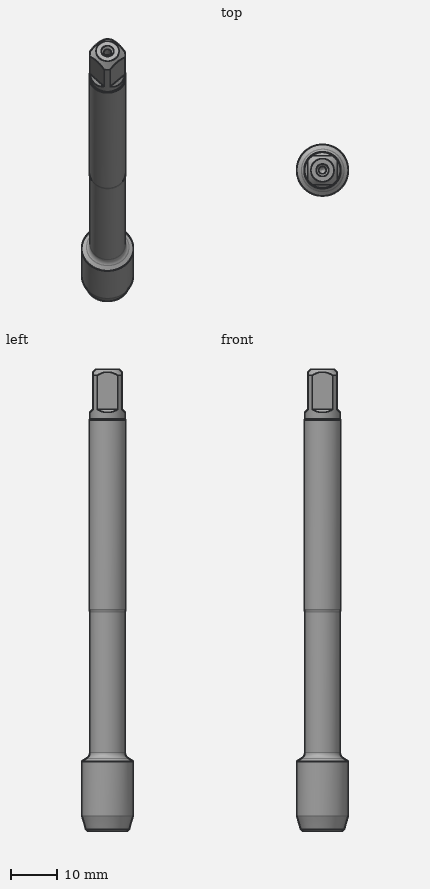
import cadquery as cq
import math

total_length = 100.0
head_length = 15.0
lead_length = 3.4
tip_bevel_height = 0.5
collar_top = 15.2
grip_bottom = 47.5
grip_bottom_bevel_height = 0.5
grip_top = 89.2
grip_top_bevel_height = 0.3
flats_bottom = 91.3

head_diameter = 11.2
tip_bevel_diameter = 9.5
tip_diameter = 8.5
neck_diameter = 7.7
grip_diameter = 8.0
end_face_diameter = 5.0

shoulder_slope = math.radians(30)
shoulder_fillet = 1.5

square_width = 6.3
centre_mouth_diameter = 2.7
centre_hole_diameter = 1.6
centre_hole_depth = 3.0
drill_point_angle = math.radians(118)


def revolve_profile(profile):
    """Revolve a list of (diameter, height) points, closed on the axis, about Z."""
    points = [(diameter / 2, height) for diameter, height in profile]
    if profile[0][0] > 0:
        points.insert(0, (0, profile[0][1]))
    points.append((0, profile[-1][1]))
    return cq.Workplane("XZ").polyline(points).close().revolve(360, (0, 0), (0, 1))


def make_head():
    """Cutting head with a tapered lead and a bevelled tip."""
    return revolve_profile([
        (tip_diameter, 0),
        (tip_bevel_diameter, tip_bevel_height),
        (head_diameter, lead_length),
        (head_diameter, head_length),
    ])


def make_flat_cutter():
    """Material beyond one flat of the square, with a 45 degree run-out at its foot."""
    flat = square_width / 2
    reach = neck_diameter
    return (
        cq.Workplane("XZ")
        .polyline([
            (flat, flats_bottom),
            (reach, flats_bottom - (reach - flat)),
            (reach, total_length),
            (flat, total_length),
        ])
        .close()
        .extrude(neck_diameter, both=True)
        .intersect(
            cq.Workplane("XY", origin=(0, 0, grip_top))
            .rect(4 * neck_diameter, 4 * neck_diameter)
            .extrude(total_length - grip_top)
        )
    )


def make_centre_hole():
    """Centre hole with a drill point and a 45 degree countersunk mouth."""
    mouth_depth = (centre_mouth_diameter - centre_hole_diameter) / 2
    hole_bottom = total_length - centre_hole_depth
    point_height = centre_hole_diameter / 2 / math.tan(drill_point_angle / 2)
    return revolve_profile([
        (0, hole_bottom - point_height),
        (centre_hole_diameter, hole_bottom),
        (centre_hole_diameter, total_length - mouth_depth),
        (centre_mouth_diameter, total_length),
    ])


def make_shoulder():
    """Collar on the head, then a cone with a concave fillet up to the neck."""
    collar_radius = head_diameter / 2
    neck_radius = neck_diameter / 2
    fillet_turn = math.pi / 2 - shoulder_slope
    fillet_foot_radius = neck_radius + shoulder_fillet * (1 - math.cos(fillet_turn))
    fillet_foot = collar_top + (collar_radius - fillet_foot_radius) * math.tan(shoulder_slope)
    shoulder_top = fillet_foot + shoulder_fillet * math.sin(fillet_turn)
    fillet_middle = (
        neck_radius + shoulder_fillet * (1 - math.cos(fillet_turn / 2)),
        shoulder_top - shoulder_fillet * math.sin(fillet_turn / 2),
    )
    return (
        cq.Workplane("XZ")
        .moveTo(0, head_length)
        .lineTo(collar_radius, head_length)
        .lineTo(collar_radius, collar_top)
        .lineTo(fillet_foot_radius, fillet_foot)
        .threePointArc(fillet_middle, (neck_radius, shoulder_top))
        .lineTo(0, shoulder_top)
        .close()
        .revolve(360, (0, 0), (0, 1))
    )


def make_shank():
    """Shoulder, neck, grip and square drive end."""
    end_bevel_height = (neck_diameter - end_face_diameter) / 2
    shank = revolve_profile([
        (neck_diameter, head_length),
        (neck_diameter, grip_bottom),
        (grip_diameter, grip_bottom + grip_bottom_bevel_height),
        (grip_diameter, grip_top - grip_top_bevel_height),
        (neck_diameter, grip_top),
        (neck_diameter, total_length - end_bevel_height),
        (end_face_diameter, total_length),
    ])
    shank = shank.union(make_shoulder())
    flat_cutter = make_flat_cutter()
    for angle in (0, 90, 180, 270):
        shank = shank.cut(flat_cutter.rotate((0, 0, 0), (0, 0, 1), angle))
    return shank.cut(make_centre_hole())


head = make_head()
shank = make_shank()

result = cq.Compound.makeCompound([head.val(), shank.val()])